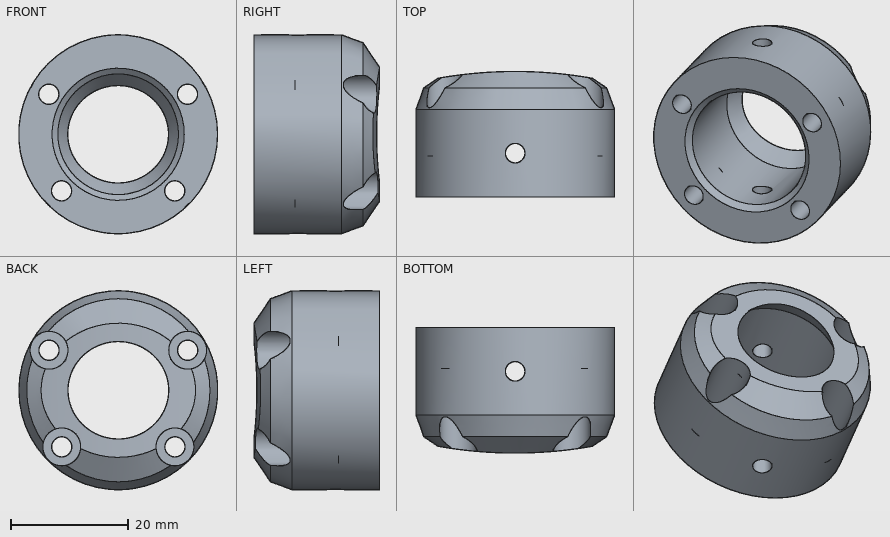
import cadquery as cq
import math

outer_radius = 17.0
length = 21.5
crown_radius = 75.0
trim_allowance = 1.02
clearance = 1.7

straight_length = 15.0
shoulder_y = 18.65
shoulder_radius = 15.65
tip_radius = 11.45

bore_radius = 10.3
mouth_chamfer = 1.0
throat_radius = 8.3
throat_angle = 30.0

screw_circle_radius = 13.67
screw_radius = 1.7
head_radius = 3.23
head_floor_y = 7.0
screw_angles = (30, 150, 225, 315)

cross_hole_y = 7.5
cross_hole_diameter = 3.3


def make_body():
    """Revolve the wall section, including the bore with its chamfer and throat."""
    tip_taper = (shoulder_radius - tip_radius) / (length - shoulder_y)
    throat_taper = math.tan(math.radians(throat_angle))
    throat_length = (bore_radius - throat_radius) / throat_taper
    section = [
        (bore_radius + mouth_chamfer, 0),
        (outer_radius, 0),
        (outer_radius, straight_length),
        (shoulder_radius, shoulder_y),
        (tip_radius - trim_allowance * tip_taper, length + trim_allowance),
        (throat_radius - trim_allowance * throat_taper, length + trim_allowance),
        (bore_radius, length - throat_length),
        (bore_radius, mouth_chamfer),
    ]
    return cq.Workplane("XY").polyline(section).close().revolve(360, (0, 0), (0, 1))


def make_crown_waste():
    """Block beyond the crown surface, an arc that peaks at the full length at X = 0."""
    half_width = outer_radius + clearance
    edge_y = length - crown_radius + math.sqrt(crown_radius**2 - half_width**2)
    top_y = length + trim_allowance + clearance
    return (
        cq.Workplane("XY")
        .moveTo(-half_width, edge_y)
        .threePointArc((0, length), (half_width, edge_y))
        .lineTo(half_width, top_y)
        .lineTo(-half_width, top_y)
        .close()
        .extrude(half_width, both=True)
    )


def make_screw_holes():
    """Through holes with head pockets entering from the domed end."""
    places = []
    for angle in screw_angles:
        turn = math.radians(angle)
        places.append((screw_circle_radius * math.cos(turn), screw_circle_radius * math.sin(turn)))
    shanks = cq.Workplane("XZ").pushPoints(places).circle(screw_radius).extrude(-length)
    heads = (
        cq.Workplane("XZ", origin=(0, head_floor_y, 0))
        .pushPoints(places)
        .circle(head_radius)
        .extrude(head_floor_y - length)
    )
    return shanks.union(heads)


def make_cross_hole():
    """Radial hole along Z through the upper and lower walls."""
    return (
        cq.Workplane("XY")
        .center(0, cross_hole_y)
        .circle(cross_hole_diameter / 2)
        .extrude(outer_radius + clearance, both=True)
    )


result = make_body().cut(make_crown_waste()).cut(make_screw_holes()).cut(make_cross_hole())